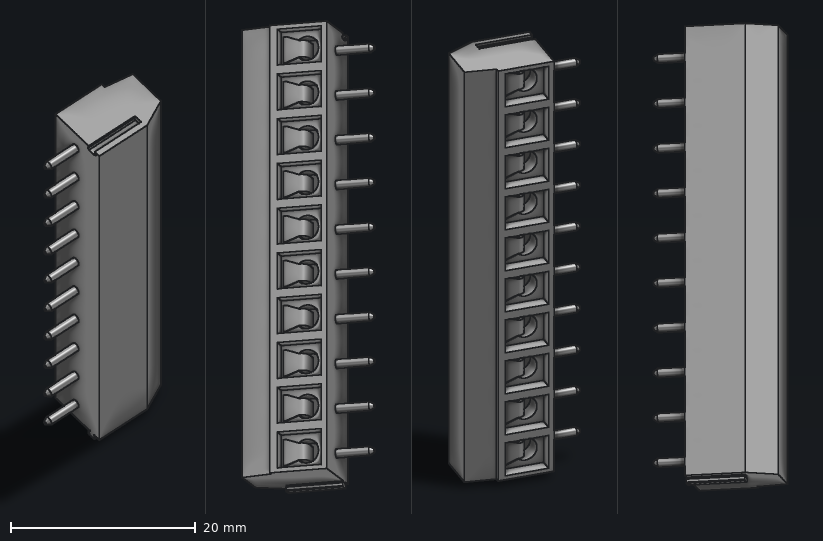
import cadquery as cq


POLES = 10
PITCH = 5.0
HEIGHT = POLES * PITCH
WIDTH = 7.5
DEPTH = 10.0
SHOULDER_Y = 6.5
SHOULDER_STEP = 0.5
CREST_START_X = 1.05
CREST_END_X = 5.85
BACK_SHOULDER_Y = 6.7

POCKET_HEIGHT = 4.0
POCKET_Y_MIN = 0.65
POCKET_Y_MAX = 5.65
POCKET_DEPTH = 1.5

HOLE_RADIUS = 1.33
HOLE_Y = 2.75
HOLE_DEPTH = 2.0
HOLE_FLOOR_X = POCKET_DEPTH + HOLE_DEPTH

LEAF_RISE = 0.15
LEAF_OUTER_Y = POCKET_Y_MAX
LEAF_OUTER_BEND = 0.6
LEAF_INNER_Y = 2.7
LEAF_INNER_BEND = 0.85
LEAF_WIDE = 2.9
LEAF_NARROW = 1.85
LEAF_FACE_X = POCKET_DEPTH - LEAF_RISE

PIN_X = 3.5
PIN_RADIUS = 0.5
PIN_LENGTH = 4.3
PIN_TIP_LENGTH = 0.5
PIN_TIP_RADIUS = 0.2

RAIL_X = 6.2
RAIL_HEIGHT = 0.68
RAIL_HALF_NECK = 0.38
RAIL_HALF_WIDTH = 0.55
RAIL_HALF_TIP = 0.45
RAIL_NECK_HEIGHT = 0.15
RAIL_BEVEL = 0.1
GROOVE_DEPTH = 0.65
GROOVE_HALF_MOUTH = 0.52
GROOVE_HALF_WIDTH = 0.7
GROOVE_HALF_FLOOR = 0.45
GROOVE_NECK_DEPTH = 0.3
GROOVE_WIDEST_DEPTH = 0.48


def make_housing():
    """Plain housing body, extruded along Z."""
    outline = [
        (0, 0),
        (WIDTH, 0),
        (WIDTH, BACK_SHOULDER_Y),
        (CREST_END_X, DEPTH),
        (CREST_START_X, DEPTH),
        (SHOULDER_STEP, SHOULDER_Y),
        (0, SHOULDER_Y),
    ]
    return cq.Workplane("XY").polyline(outline).close().extrude(HEIGHT)


def make_entry(center_z):
    """Pocket and round hole to cut for one pole."""
    pocket_length = POCKET_Y_MAX - POCKET_Y_MIN
    pocket = cq.Workplane("XY").box(
        POCKET_DEPTH, pocket_length, POCKET_HEIGHT, centered=(False, False, True)
    ).translate((0, POCKET_Y_MIN, center_z))
    hole = (
        cq.Workplane("YZ")
        .center(HOLE_Y, center_z)
        .circle(HOLE_RADIUS)
        .extrude(HOLE_FLOOR_X)
    )
    return pocket.union(hole)


def make_leaf(center_z):
    """Clamp leaf: both ends roll over toward +X, and it tapers toward the hole."""
    taper_end_y = LEAF_INNER_Y + LEAF_INNER_BEND
    taper_start_y = LEAF_OUTER_Y - LEAF_OUTER_BEND
    section = (
        cq.Workplane("XY")
        .moveTo(HOLE_FLOOR_X, LEAF_INNER_Y)
        .lineTo(LEAF_FACE_X + LEAF_INNER_BEND, LEAF_INNER_Y)
        .radiusArc((LEAF_FACE_X, taper_end_y), LEAF_INNER_BEND)
        .lineTo(LEAF_FACE_X, taper_start_y)
        .radiusArc((LEAF_FACE_X + LEAF_OUTER_BEND, LEAF_OUTER_Y), LEAF_OUTER_BEND)
        .lineTo(HOLE_FLOOR_X, LEAF_OUTER_Y)
        .close()
        .extrude(LEAF_WIDE / 2, both=True)
    )
    plan = [
        (LEAF_INNER_Y, -LEAF_NARROW / 2),
        (taper_end_y, -LEAF_NARROW / 2),
        (taper_start_y, -LEAF_WIDE / 2),
        (LEAF_OUTER_Y, -LEAF_WIDE / 2),
        (LEAF_OUTER_Y, LEAF_WIDE / 2),
        (taper_start_y, LEAF_WIDE / 2),
        (taper_end_y, LEAF_NARROW / 2),
        (LEAF_INNER_Y, LEAF_NARROW / 2),
    ]
    taper = cq.Workplane("YZ").polyline(plan).close().extrude(HOLE_FLOOR_X)
    return section.intersect(taper).translate((0, 0, center_z))


def make_pin(center_z):
    """Round pin with a conical tip, rooted on the Y = 0 face."""
    shank_length = PIN_LENGTH - PIN_TIP_LENGTH
    half_section = [
        (0, 0),
        (-PIN_RADIUS, 0),
        (-PIN_RADIUS, -shank_length),
        (-PIN_TIP_RADIUS, -PIN_LENGTH),
        (0, -PIN_LENGTH),
    ]
    pin = cq.Workplane("XY").polyline(half_section).close().revolve(360, (0, 0), (0, 1))
    return pin.translate((PIN_X, 0, center_z))


def extrude_along_shoulder(half_profile):
    """Mirror (half width, z) points about X = RAIL_X and run them from Y = 0 to the shoulder."""
    right = [(RAIL_X + half_width, z) for half_width, z in half_profile]
    left = [(RAIL_X - half_width, z) for half_width, z in reversed(half_profile)]
    return cq.Workplane("XZ").polyline(right + left).close().extrude(-SHOULDER_Y)


def make_rail():
    """Interlocking rail hanging below the housing."""
    return extrude_along_shoulder([
        (RAIL_HALF_NECK, 0),
        (RAIL_HALF_NECK, -RAIL_NECK_HEIGHT),
        (RAIL_HALF_WIDTH, -RAIL_NECK_HEIGHT - RAIL_BEVEL),
        (RAIL_HALF_WIDTH, -RAIL_HEIGHT + RAIL_BEVEL),
        (RAIL_HALF_TIP, -RAIL_HEIGHT),
    ])


def make_groove():
    """Undercut groove in the top that takes a neighbour's rail."""
    return extrude_along_shoulder([
        (GROOVE_HALF_MOUTH, HEIGHT),
        (GROOVE_HALF_MOUTH, HEIGHT - GROOVE_NECK_DEPTH),
        (GROOVE_HALF_WIDTH, HEIGHT - GROOVE_WIDEST_DEPTH),
        (GROOVE_HALF_FLOOR, HEIGHT - GROOVE_DEPTH),
    ])


result = make_housing().cut(make_groove()).union(make_rail())
for pole in range(POLES):
    pole_z = (pole + 0.5) * PITCH
    result = result.cut(make_entry(pole_z))
    result = result.union(make_leaf(pole_z)).union(make_pin(pole_z))